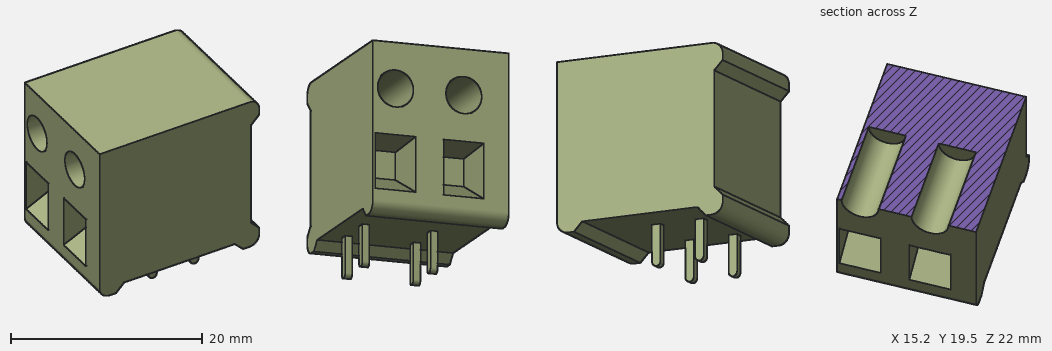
import cadquery as cq

pitch = 7.62
pole_count = 2
housing_width = 15.2
housing_depth = 19.5
housing_height = 18.5

foot_height = 1.0
foot_radius = 1.25
foot_land = 2.0
foot_slope = foot_height

first_pole_x = 2.54
screw_hole_diameter = 4.0
screw_hole_z = 13.5
screw_hole_depth = 10.0
wire_width = 4.5
wire_bottom_z = 2.5
wire_top_z = 8.5
wire_depth = 6.0
wire_floor_rise = 2.8
wire_roof_drop = 0.2

pin_thickness = 0.8
pin_width = 1.0
pin_length = 3.5
front_pin_y = 9.3
pin_row_spacing = 5.08

pole_xs = [first_pole_x + i * pitch for i in range(pole_count)]
pin_ys = [front_pin_y, front_pin_y + pin_row_spacing]


def side_extrusion(outline, x_center, width):
    """Extrude a closed YZ outline by width, centred on x_center."""
    return outline.extrude(width / 2, both=True).translate((x_center, 0, 0))


def make_blank():
    back_wall_y = housing_depth - foot_height
    outline = (
        cq.Workplane("YZ")
        .moveTo(0, housing_height)
        .lineTo(0, foot_radius)
        .radiusArc((foot_radius, 0), -foot_radius)
        .lineTo(foot_land, 0)
        .lineTo(foot_land + foot_slope, foot_height)
        .lineTo(housing_depth - foot_land - foot_slope, foot_height)
        .lineTo(housing_depth - foot_land, 0)
        .lineTo(housing_depth - foot_radius, 0)
        .radiusArc((housing_depth, foot_radius), -foot_radius)
        .lineTo(housing_depth, foot_land)
        .lineTo(back_wall_y, foot_land + foot_slope)
        .lineTo(back_wall_y, housing_height - foot_land - foot_slope)
        .lineTo(housing_depth, housing_height - foot_land)
        .lineTo(housing_depth, housing_height - foot_radius)
        .radiusArc((housing_depth - foot_radius, housing_height), -foot_radius)
        .close()
    )
    return side_extrusion(outline, housing_width / 2, housing_width)


def make_screw_hole(x):
    return (
        cq.Workplane("XZ", origin=(x, 0, screw_hole_z))
        .circle(screw_hole_diameter / 2)
        .extrude(-screw_hole_depth)
    )


def make_wire_funnel(x):
    outline = (
        cq.Workplane("YZ")
        .moveTo(0, wire_bottom_z)
        .lineTo(wire_depth, wire_bottom_z + wire_floor_rise)
        .lineTo(wire_depth, wire_top_z - wire_roof_drop)
        .lineTo(0, wire_top_z)
        .close()
    )
    return side_extrusion(outline, x, wire_width)


def make_housing():
    housing = make_blank()
    for x in pole_xs:
        housing = housing.cut(make_screw_hole(x)).cut(make_wire_funnel(x))
    return housing


def make_pin(x, y):
    tip_radius = pin_width / 2
    outline = (
        cq.Workplane("YZ")
        .moveTo(y - tip_radius, foot_height)
        .lineTo(y - tip_radius, tip_radius - pin_length)
        .threePointArc((y, -pin_length), (y + tip_radius, tip_radius - pin_length))
        .lineTo(y + tip_radius, foot_height)
        .close()
    )
    return side_extrusion(outline, x, pin_thickness)


housing = make_housing()
pins = [make_pin(x, y) for x in pole_xs for y in pin_ys]

result = cq.Compound.makeCompound([housing.val(), *[pin.val() for pin in pins]])